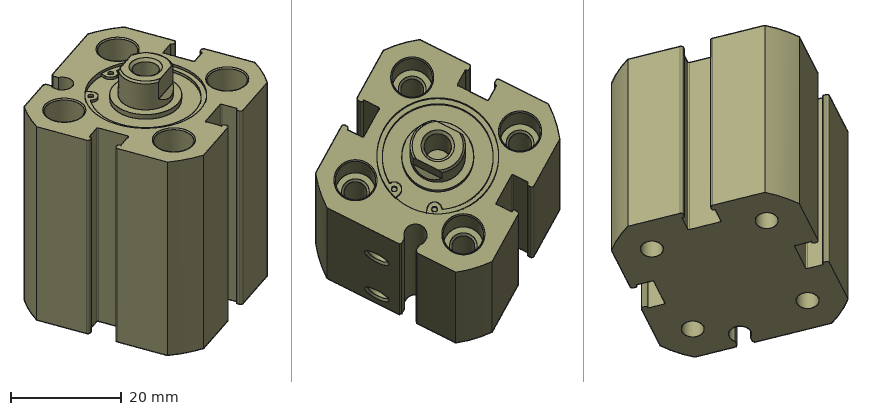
import cadquery as cq
import math


total_height = 48.0
housing_width = 36.0
housing_height = 42.0
half_width = housing_width / 2

corner_diameter = 44.55

slot_mouth_width = 5.25
slot_inner_width = 6.35
slot_depth = 4.5
slot_lip_thickness = 1.25
slot_mouth_fillet = 0.5
slot_lip_fillet = 0.4
slot_floor_fillet = 0.25

groove_diameter = 4.15
groove_mouth_width = 2.95
groove_center_depth = 2.9
groove_center_y = -3.4
groove_mouth_fillet = 0.3

thread_core_diameter = 4.15
thread_chamfer_diameter = 5.0
thread_chamfer = (thread_chamfer_diameter - thread_core_diameter) / 2

mount_offset = 11.0
mount_bore_diameter = 7.3
mount_bore_chamfer = 0.25
mount_bore_depth = 7.0

port_y = 3.0
port_heights = (5.4, 26.95)
port_depth = 7.0

recess_diameter = 22.0
recess_depth = 1.0
ring_inner_diameter = 20.0
ring_thickness = 0.55
eyelet_radius = 1.35
eyelet_hole_diameter = 1.0
eyelet_circle_radius = 9.95
eyelet_angle = 24.4
collar_diameter = 13.0

rod_diameter = 10.0
rod_length = 24.0
rod_top_chamfer = 0.4
rod_flats_width = 8.05
rod_flats_height = 4.05
rod_hole_diameter = 4.9
rod_hole_chamfer_diameter = 6.0
rod_hole_depth = 10.0

rod_bottom = total_height - rod_length
recess_floor = housing_height - recess_depth


def cylinder(diameter, bottom, top):
    """Upright cylinder about the Z axis."""
    return cq.Workplane("XY").workplane(offset=bottom).circle(diameter / 2).extrude(top - bottom)


def chamfered_cutter(diameter, depth, chamfer):
    """Cutter for a blind hole from Z = 0 down to -depth, with a chamfered mouth."""
    radius = diameter / 2
    profile = [
        (0, 0),
        (radius + chamfer, 0),
        (radius, -chamfer),
        (radius, -depth),
        (0, -depth),
    ]
    return cq.Workplane("XZ").polyline(profile).close().revolve(360, (0, 0), (0, 1))


def slot_cutter():
    """Lipped slot in the +X side."""
    lip_x = half_width - slot_lip_thickness
    floor_x = half_width - slot_depth
    mouth_half = slot_mouth_width / 2
    cavity = (
        cq.Workplane("XY")
        .moveTo((lip_x + floor_x) / 2, 0)
        .rect(lip_x - floor_x, slot_inner_width)
        .extrude(housing_height)
        .edges("|Z and <X")
        .fillet(slot_floor_fillet)
    )
    mouth = (
        cq.Workplane("XY")
        .moveTo(half_width, mouth_half + slot_mouth_fillet)
        .radiusArc((half_width - slot_mouth_fillet, mouth_half), slot_mouth_fillet)
        .lineTo(lip_x + slot_lip_fillet, mouth_half)
        .radiusArc((lip_x, mouth_half + slot_lip_fillet), slot_lip_fillet)
        .lineTo(lip_x, -mouth_half - slot_lip_fillet)
        .radiusArc((lip_x + slot_lip_fillet, -mouth_half), slot_lip_fillet)
        .lineTo(half_width - slot_mouth_fillet, -mouth_half)
        .radiusArc((half_width, -mouth_half - slot_mouth_fillet), slot_mouth_fillet)
        .close()
        .extrude(housing_height)
    )
    return cavity.union(mouth)


def groove_cutter():
    """Round groove in the -X side with a narrower, rounded mouth."""
    center_x = -half_width + groove_center_depth
    mouth_half = groove_mouth_width / 2
    round_part = (
        cq.Workplane("XY")
        .center(center_x, groove_center_y)
        .circle(groove_diameter / 2)
        .extrude(housing_height)
    )
    neck = (
        cq.Workplane("XY", origin=(-half_width, groove_center_y, 0))
        .moveTo(0, mouth_half + groove_mouth_fillet)
        .radiusArc((groove_mouth_fillet, mouth_half), groove_mouth_fillet)
        .lineTo(groove_center_depth, mouth_half)
        .lineTo(groove_center_depth, -mouth_half)
        .lineTo(groove_mouth_fillet, -mouth_half)
        .radiusArc((0, -mouth_half - groove_mouth_fillet), groove_mouth_fillet)
        .close()
        .extrude(housing_height)
    )
    return round_part.union(neck)


def profile_body():
    """Extruded housing profile with slots and groove."""
    body = (
        cq.Workplane("XY")
        .rect(housing_width, housing_width)
        .extrude(housing_height)
        .intersect(cylinder(corner_diameter, 0, housing_height))
    )
    for angle in (0, 90, -90):
        body = body.cut(slot_cutter().rotate((0, 0, 0), (0, 0, 1), angle))
    return body.cut(groove_cutter())


def mounting_hole_cutter():
    """Through hole with a chamfered counterbore, its mouth at Z = 0."""
    bore = chamfered_cutter(mount_bore_diameter, mount_bore_depth, mount_bore_chamfer)
    core = chamfered_cutter(
        thread_core_diameter, housing_height - mount_bore_depth, thread_chamfer
    )
    return bore.union(core.translate((0, 0, -mount_bore_depth)))


def port_cutter():
    """Air port entering along +X, its mouth at X = 0."""
    port = chamfered_cutter(thread_core_diameter, port_depth, thread_chamfer)
    return port.rotate((0, 0, 0), (0, 1, 0), -90)


def retaining_ring():
    """Open ring on the recess floor; its ends run radially, tangent to the eyelets."""
    ring_top = recess_floor + ring_thickness
    tangent_angle = math.degrees(math.asin(eyelet_radius / eyelet_circle_radius))
    gap_angle = math.radians(eyelet_angle - tangent_angle)
    gap_half = recess_diameter * math.tan(gap_angle)
    band = cylinder(recess_diameter, recess_floor, ring_top).cut(
        cylinder(ring_inner_diameter, recess_floor, ring_top)
    )
    level = cq.Workplane("XY").workplane(offset=recess_floor)
    gap = (
        level.polyline([(0, 0), (-recess_diameter, gap_half), (-recess_diameter, -gap_half)])
        .close()
        .extrude(ring_thickness)
    )
    eye_x = -eyelet_circle_radius * math.cos(math.radians(eyelet_angle))
    eye_y = eyelet_circle_radius * math.sin(math.radians(eyelet_angle))
    eyes = [(eye_x, eye_y), (eye_x, -eye_y)]
    ring = band.cut(gap).union(level.pushPoints(eyes).circle(eyelet_radius).extrude(ring_thickness))
    return ring.cut(level.pushPoints(eyes).circle(eyelet_hole_diameter / 2).extrude(ring_thickness))


def make_housing():
    """Housing with its end recess, collar and ring, bored to seat the rod."""
    housing = profile_body()
    for x in (-mount_offset, mount_offset):
        for y in (-mount_offset, mount_offset):
            housing = housing.cut(mounting_hole_cutter().translate((x, y, housing_height)))
    for z in port_heights:
        housing = housing.cut(port_cutter().translate((-half_width, port_y, z)))
    housing = housing.cut(cylinder(recess_diameter, recess_floor, housing_height))
    housing = housing.union(cylinder(collar_diameter, recess_floor, housing_height))
    housing = housing.union(retaining_ring())
    return housing.cut(cylinder(rod_diameter, rod_bottom, housing_height))


def flat_cutter():
    """Wrench flat on the +X side of the rod, running out at 45 degrees."""
    flat_x = rod_flats_width / 2
    outer_x = rod_diameter
    flat_bottom = total_height - rod_flats_height
    profile = [
        (flat_x, total_height),
        (flat_x, flat_bottom),
        (outer_x, flat_bottom - (outer_x - flat_x)),
        (outer_x, total_height),
    ]
    return cq.Workplane("XZ").polyline(profile).close().extrude(rod_diameter / 2, both=True)


def make_rod():
    """Piston rod with two wrench flats and a blind threaded hole in its end."""
    rod = cylinder(rod_diameter, rod_bottom, total_height).faces(">Z").chamfer(rod_top_chamfer)
    rod = rod.cut(flat_cutter()).cut(flat_cutter().mirror("YZ"))
    hole_chamfer = (rod_hole_chamfer_diameter - rod_hole_diameter) / 2
    hole = chamfered_cutter(rod_hole_diameter, rod_hole_depth, hole_chamfer)
    return rod.cut(hole.translate((0, 0, total_height)))


housing = make_housing()
rod = make_rod()

result = cq.Compound.makeCompound([housing.solids().val(), rod.solids().val()])